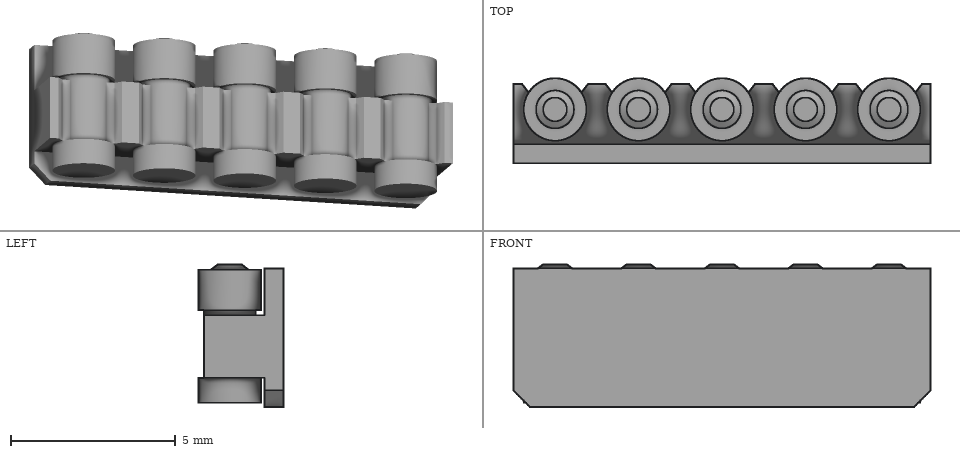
import cadquery as cq

length = 12.7
plate_thickness = 0.58
plate_height = 4.22
corner_cut = 0.51

body_back = 2.41
body_bottom = 0.89
body_height = 1.9

pin_count = 5
pin_pitch = length / pin_count
head_diameter = 1.9
shank_diameter = 1.59
tip_base_diameter = 1.15
tip_top_diameter = 0.72
overall_depth = 2.59
pin_y = overall_depth - head_diameter / 2
flange_bottom = 0.13
head_bottom = 2.95
head_top = 4.18
tip_top = 4.34

notch_depth = 0.23
notch_mouth_width = 2.01
notch_floor_width = 1.65


def make_plate():
    blank = cq.Workplane("XY").box(length, plate_thickness, plate_height, centered=(True, False, False))
    return blank.faces("<Z").edges("|Y").chamfer(corner_cut)


def make_body():
    block = cq.Workplane("XY").box(length, body_back, body_height, centered=(True, False, False))
    return block.translate((0, 0, body_bottom))


def make_notch(x):
    outline = [
        (-notch_mouth_width / 2, 0),
        (notch_mouth_width / 2, 0),
        (notch_floor_width / 2, -notch_depth),
        (-notch_floor_width / 2, -notch_depth),
    ]
    plane = cq.Workplane("XY", origin=(x, body_back, body_bottom))
    return plane.polyline(outline).close().extrude(body_height)


def make_pin(x):
    head_radius = head_diameter / 2
    shank_radius = shank_diameter / 2
    half_profile = [
        (0, flange_bottom),
        (head_radius, flange_bottom),
        (head_radius, body_bottom),
        (shank_radius, body_bottom),
        (shank_radius, head_bottom),
        (head_radius, head_bottom),
        (head_radius, head_top),
        (tip_base_diameter / 2, head_top),
        (tip_top_diameter / 2, tip_top),
        (0, tip_top),
    ]
    pin = cq.Workplane("XZ").polyline(half_profile).close().revolve(360, (0, 0), (0, 1))
    return pin.translate((x, pin_y, 0))


pin_positions = [(i - (pin_count - 1) / 2) * pin_pitch for i in range(pin_count)]

body = make_body()
for x in pin_positions:
    body = body.cut(make_notch(x))

result = make_plate().union(body)
for x in pin_positions:
    result = result.union(make_pin(x))